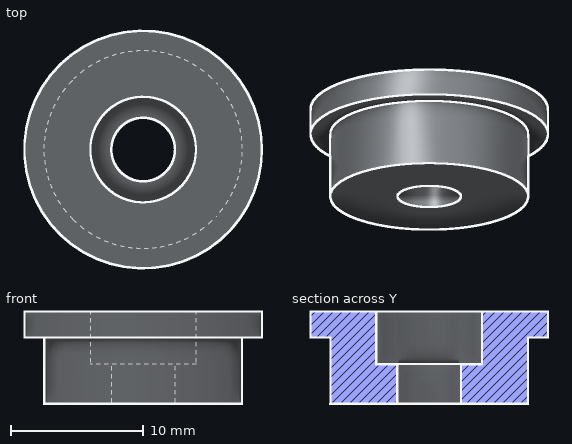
import cadquery as cq

flange_diameter = 18.0
flange_thickness = 2.0
body_diameter = 15.0
body_height = 5.0
bore_diameter = 4.8
counterbore_diameter = 8.0
counterbore_depth = 4.0

total_height = body_height + flange_thickness


def cylinder(diameter, bottom, height):
    """Upright cylinder on the Z axis, starting at the given bottom height."""
    return cq.Workplane("XY").workplane(offset=bottom).circle(diameter / 2).extrude(height)


body = cylinder(body_diameter, 0, body_height)
flange = cylinder(flange_diameter, body_height, flange_thickness)

bore = cylinder(bore_diameter, 0, total_height)
counterbore = cylinder(counterbore_diameter, total_height - counterbore_depth, counterbore_depth)

result = body.union(flange).cut(bore).cut(counterbore)